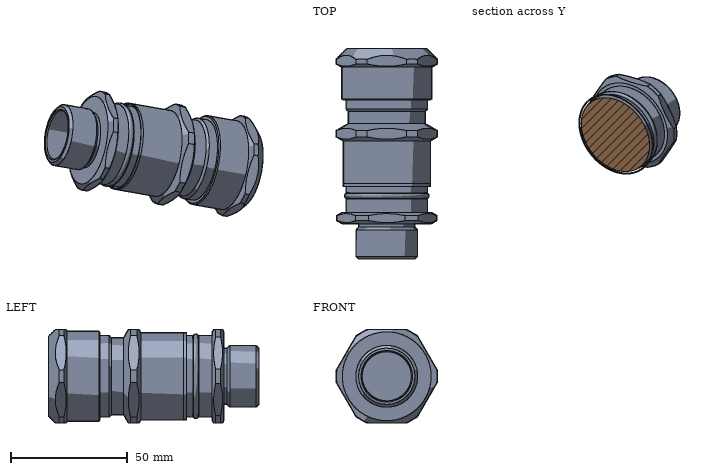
import cadquery as cq
import math


SPIGOT_DIA = 26.44
RELIEF_DIA = 24.04
SPIGOT_TAPER = (SPIGOT_DIA - RELIEF_DIA) / 2
RELIEF_WIDTH = 1.3
BORE_DIA = 21.0
BORE_CHAMFER = 0.5
BORE_DEPTH = 12.5

FLANGE_START = 15.0
FLANGE_END = 20.0
SLEEVE_START = 31.0
MIDDLE_NUT_START = 50.5
MIDDLE_NUT_END = 57.9
COLLAR_START = 63.1
REAR_BODY_START = 68.0
REAR_NUT_START = 82.0
TOTAL_LENGTH = 90.0

COLLAR_DIA = 35.0
NECK_DIA = 33.0
SLEEVE_DIA = 37.4
SLEEVE_MOUTH_DIA = 36.8
SLEEVE_MOUTH_DEPTH = 1.2
REAR_BODY_DIA = 38.6
COLLAR_CHAMFER = (COLLAR_DIA - NECK_DIA) / 2
REAR_BODY_CHAMFER = 0.5

RING_SECTION_DIA = 2.2
RING_OUTER_DIA = 36.2
RING_POSITION = 27.0
RING_SQUEEZE = 0.1
RING_GROOVE_WIDTH = 2.6
RING_GROOVE_DIA = RING_OUTER_DIA - 2 * (RING_SECTION_DIA - RING_SQUEEZE)

ACROSS_FLATS = 40.0
CORNERS_PER_FLATS = 1 / math.cos(math.pi / 6)
ACROSS_CORNERS = ACROSS_FLATS * CORNERS_PER_FLATS
CORNER_CUT = 1.5
HALF_CORNER_ANGLE = 60.0
HALF_HEX_TURN = 30.0
ACROSS_CUT_CORNERS = ACROSS_CORNERS - 2 * CORNER_CUT
FLANGE_CORNER_DIA = 43.0
FLANGE_FACE_DIA = 38.0
REAR_FACE_DIA = 34.2
SHALLOW_ANGLE = 30.0
STEEP_ANGLE = 45.0


def revolve_profile(points):
    """Revolve (radius, Y) points about the Y axis."""
    return cq.Workplane("XY").polyline(points).close().revolve(360, (0, 0, 0), (0, 1, 0))


def cylinder(diameter, start, end):
    radius = diameter / 2
    return revolve_profile([(0, start), (radius, start), (radius, end), (0, end)])


def hexagon(across_corners, start, end, turn=0):
    """Hexagonal prism along Y; unturned, it has corners on the X axis."""
    prism = cq.Workplane("XZ", origin=(0, start, 0)).polygon(6, across_corners).extrude(start - end)
    return prism.rotate((0, 0, 0), (0, 1, 0), turn)


def cone_envelope(outer_dia, start, end, start_dia, end_dia, start_angle, end_angle):
    """Solid of revolution whose ends are coned; angles are measured from the end faces."""
    outer = outer_dia / 2
    start_rise = (outer - start_dia / 2) * math.tan(math.radians(start_angle))
    end_rise = (outer - end_dia / 2) * math.tan(math.radians(end_angle))
    return revolve_profile([
        (0, start),
        (start_dia / 2, start),
        (outer, start + start_rise),
        (outer, end - end_rise),
        (end_dia / 2, end),
        (0, end),
    ])


def nut(start, end, start_dia, end_dia, end_angle):
    """Hexagon nut with flat-cut corners and coned ends."""
    trim_corners = ACROSS_CUT_CORNERS * CORNERS_PER_FLATS
    body = hexagon(ACROSS_CORNERS, start, end).intersect(hexagon(trim_corners, start, end, HALF_HEX_TURN))
    flat_half_width = CORNER_CUT * math.tan(math.radians(HALF_CORNER_ANGLE))
    clear_dia = 2 * math.hypot(ACROSS_CUT_CORNERS / 2, flat_half_width)
    return body.intersect(
        cone_envelope(clear_dia, start, end, start_dia, end_dia, SHALLOW_ANGLE, end_angle)
    )


def flange():
    """Hexagon flange with rounded corners, coned on both faces."""
    envelope = cone_envelope(
        FLANGE_CORNER_DIA, FLANGE_START, FLANGE_END,
        FLANGE_FACE_DIA, FLANGE_FACE_DIA, SHALLOW_ANGLE, SHALLOW_ANGLE,
    )
    return hexagon(ACROSS_CORNERS, FLANGE_START, FLANGE_END).intersect(envelope)


def spigot():
    outer = SPIGOT_DIA / 2
    relief = RELIEF_DIA / 2
    relief_start = FLANGE_START - RELIEF_WIDTH
    return revolve_profile([
        (0, 0),
        (relief, 0),
        (outer, SPIGOT_TAPER),
        (outer, relief_start - SPIGOT_TAPER),
        (relief, relief_start),
        (relief, FLANGE_START),
        (0, FLANGE_START),
    ])


def tube(outer_dia, inner_dia, start, end):
    return cylinder(outer_dia, start, end).cut(cylinder(inner_dia, start, end))


def o_ring_groove():
    half_width = RING_GROOVE_WIDTH / 2
    return tube(COLLAR_DIA, RING_GROOVE_DIA, RING_POSITION - half_width, RING_POSITION + half_width)


def o_ring():
    section_radius = RING_SECTION_DIA / 2
    centre_radius = RING_OUTER_DIA / 2 - section_radius
    section_plane = cq.Plane((centre_radius, RING_POSITION, 0), xDir=(-1, 0, 0), normal=(0, 0, 1))
    section = cq.Workplane(section_plane).circle(section_radius)
    return section.revolve(360, (centre_radius, 0, 0), (centre_radius, 1, 0))


def sleeve_recess():
    """Clearance between the open front end of the sleeve and the collar inside it."""
    return tube(SLEEVE_MOUTH_DIA, COLLAR_DIA, SLEEVE_START, SLEEVE_START + SLEEVE_MOUTH_DEPTH)


def bore():
    radius = BORE_DIA / 2
    return revolve_profile([
        (0, 0),
        (radius + BORE_CHAMFER, 0),
        (radius, BORE_CHAMFER),
        (radius, BORE_DEPTH),
        (0, BORE_DEPTH),
    ])


front_collar = cylinder(COLLAR_DIA, FLANGE_END, SLEEVE_START).cut(o_ring_groove())
sleeve = cylinder(SLEEVE_DIA, SLEEVE_START, MIDDLE_NUT_START).cut(sleeve_recess())
middle_nut = nut(MIDDLE_NUT_START, MIDDLE_NUT_END, SLEEVE_DIA, NECK_DIA, SHALLOW_ANGLE)
neck = cylinder(NECK_DIA, MIDDLE_NUT_END, COLLAR_START)
rear_collar = cylinder(COLLAR_DIA, COLLAR_START, REAR_BODY_START)
rear_collar = rear_collar.faces("<Y").chamfer(COLLAR_CHAMFER)
rear_body = cylinder(REAR_BODY_DIA, REAR_BODY_START, REAR_NUT_START)
rear_body = rear_body.faces("<Y").chamfer(REAR_BODY_CHAMFER)
rear_nut = nut(REAR_NUT_START, TOTAL_LENGTH, REAR_BODY_DIA, REAR_FACE_DIA, STEEP_ANGLE)

result = spigot()
for piece in (
    flange(), front_collar, o_ring(), sleeve, middle_nut,
    neck, rear_collar, rear_body, rear_nut,
):
    result = result.union(piece)
result = result.cut(bore())